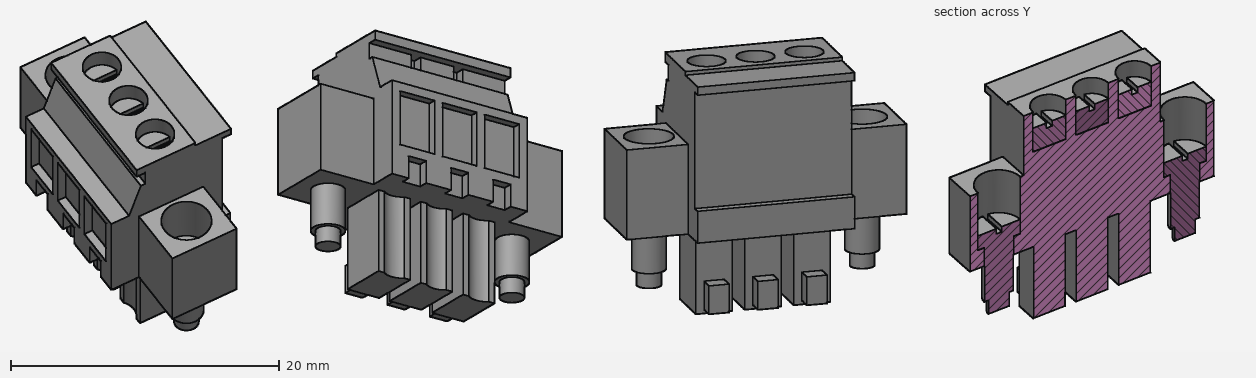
import cadquery as cq
import math

TOTAL_LENGTH = 21.82
TOTAL_DEPTH = 10.45
POLES = 3
PITCH = 3.82
POLE_XS = [PITCH * (i - (POLES - 1) / 2) for i in range(POLES)]

BLOCK_LENGTH = 12.25
FRONT_Y = -TOTAL_DEPTH / 2
BACK_LIP_Y = TOTAL_DEPTH / 2
TOP_Z = 12.48
BACK_TOP_Z = 12.2
BACK_STEP_Y = 2.12
BACK_LIP_Z = 11.56
BACK_WALL_Y = 4.47
BACK_FOOT_Y = 5.17
BACK_FOOT_Z = 2.49
FRONT_LIP_Y = -3.01
FRONT_LIP_Z = 11.72
NECK_Y = -2.25
SHOULDER_Y = -2.65
SHOULDER_Z = 10.45
SLOPE_FOOT_Y = -3.67
LEDGE_Z = 7.62

WINDOW_WIDTH = 3.1
WINDOW_BOTTOM_Z = 2.55
WINDOW_TOP_Z = 6.92
WINDOW_DEPTH = 0.7
NOTCH_WIDTH = 1.57
NOTCH_HEIGHT = 1.81
NOTCH_DEPTH = 0.79
NECK_SLOT_WIDTH = 0.83
NECK_SLOT_DEPTH = 0.8

PRONG_WIDTH = 2.85
PRONG_LENGTH = 6.61
PRONG_FRONT_Y = -2.18
PRONG_BACK_Y = 1.9
GROOVE_WIDTH = 1.8
GROOVE_RADIUS = 1.42
TAB_WIDTH = 1.57
TAB_BACK_Y = 3.15
TAB_TOP_Z = -4.08
TAB_BOTTOM_Z = -6.3

FLANGE_DEPTH = 5.6
FLANGE_HEIGHT = 7.0
FLANGE_SCREW_X = 8.31
FLANGE_SCREW_XS = [-FLANGE_SCREW_X, FLANGE_SCREW_X]

DRIVE_SLOT_WIDTH = 0.48
DRIVE_SLOT_DEPTH = 0.48

CLAMP_DIAMETER = 2.88
CLAMP_RECESS = 1.46
CLAMP_LENGTH = 2.18
CLAMP_TOP_Z = TOP_Z - CLAMP_RECESS
CLAMP_BOTTOM_Z = CLAMP_TOP_Z - CLAMP_LENGTH

HEAD_DIAMETER = 3.75
HEAD_HEIGHT = 1.3
HEAD_SEAT_Z = 1.75
HEAD_TOP_Z = HEAD_SEAT_Z + HEAD_HEIGHT
SHANK_DIAMETER = 2.6
SHANK_BOTTOM_Z = -3.32
TIP_DIAMETER = 1.88
TIP_BOTTOM_Z = -4.58


def box(x_center, width, y_min, y_max, z_min, z_max):
    """Box centred on x_center, between the given Y and Z limits."""
    corner = (x_center - width / 2, y_min, z_min)
    return cq.Workplane("XY").box(width, y_max - y_min, z_max - z_min, centered=False).translate(corner)


def cylinder(x, diameter, z_min, z_max):
    """Vertical cylinder on a screw axis."""
    return cq.Workplane("XY", origin=(x, 0, z_min)).circle(diameter / 2).extrude(z_max - z_min)


def make_block():
    """Side profile of the block, extruded along X."""
    profile = [
        (FRONT_Y, 0),
        (FRONT_Y, LEDGE_Z),
        (SLOPE_FOOT_Y, LEDGE_Z),
        (SHOULDER_Y, SHOULDER_Z),
        (NECK_Y, SHOULDER_Z),
        (NECK_Y, FRONT_LIP_Z),
        (FRONT_LIP_Y, FRONT_LIP_Z),
        (FRONT_LIP_Y, TOP_Z),
        (BACK_STEP_Y, TOP_Z),
        (BACK_STEP_Y, BACK_TOP_Z),
        (BACK_LIP_Y, BACK_TOP_Z),
        (BACK_LIP_Y, BACK_LIP_Z),
        (BACK_WALL_Y, BACK_LIP_Z),
        (BACK_WALL_Y, BACK_FOOT_Z),
        (BACK_FOOT_Y, BACK_FOOT_Z),
        (BACK_FOOT_Y, 0),
    ]
    return cq.Workplane("YZ").polyline(profile).close().extrude(BLOCK_LENGTH / 2, both=True)


def make_prong(x):
    """Plug prong with a round groove down its front and a latch tab at its back."""
    prong = box(x, PRONG_WIDTH, PRONG_FRONT_Y, PRONG_BACK_Y, -PRONG_LENGTH, 0)
    tab = box(x, TAB_WIDTH, PRONG_BACK_Y, TAB_BACK_Y, TAB_BOTTOM_Z, TAB_TOP_Z)
    groove_axis_y = PRONG_FRONT_Y - math.sqrt(GROOVE_RADIUS**2 - (GROOVE_WIDTH / 2) ** 2)
    groove_plane = cq.Workplane("XY", origin=(x, groove_axis_y, 0))
    groove = groove_plane.circle(GROOVE_RADIUS).extrude(-PRONG_LENGTH)
    return prong.union(tab).cut(groove)


def make_flanges():
    """Bar through the block whose ends form the two screw flanges."""
    return box(0, TOTAL_LENGTH, -FLANGE_DEPTH / 2, FLANGE_DEPTH / 2, 0, FLANGE_HEIGHT)


def make_pole_recesses(x):
    """Wire window, lower notch and clamp screw hole of one pole."""
    window = box(x, WINDOW_WIDTH, FRONT_Y, FRONT_Y + WINDOW_DEPTH, WINDOW_BOTTOM_Z, WINDOW_TOP_Z)
    notch = box(x, NOTCH_WIDTH, FRONT_Y, FRONT_Y + NOTCH_DEPTH, 0, NOTCH_HEIGHT)
    clamp_hole = cylinder(x, CLAMP_DIAMETER, CLAMP_BOTTOM_Z, TOP_Z)
    return [window, notch, clamp_hole]


def make_neck_slot(x):
    """Slot in the neck under the front lip."""
    return box(x, NECK_SLOT_WIDTH, NECK_Y, NECK_Y + NECK_SLOT_DEPTH, SHOULDER_Z, FRONT_LIP_Z)


def make_flange_hole(x):
    """Stepped hole for a flange screw."""
    head_hole = cylinder(x, HEAD_DIAMETER, HEAD_SEAT_Z, FLANGE_HEIGHT)
    shank_hole = cylinder(x, SHANK_DIAMETER, 0, HEAD_SEAT_Z)
    return head_hole.union(shank_hole)


def make_housing():
    """Block with flanges and prongs, minus the recesses and the screw holes."""
    housing = make_block().union(make_flanges())
    for x in POLE_XS:
        housing = housing.union(make_prong(x))
        for recess in make_pole_recesses(x):
            housing = housing.cut(recess)
    for x in POLE_XS[:-1]:
        housing = housing.cut(make_neck_slot(x + PITCH / 2))
    for x in FLANGE_SCREW_XS:
        housing = housing.cut(make_flange_hole(x))
    return housing


def make_drive_slot(x, diameter, top_z):
    """Screwdriver slot running along Y across a screw top."""
    return box(x, DRIVE_SLOT_WIDTH, -diameter / 2, diameter / 2, top_z - DRIVE_SLOT_DEPTH, top_z)


def make_clamp_screw(x):
    """Slotted cylindrical wire clamp screw."""
    screw = cylinder(x, CLAMP_DIAMETER, CLAMP_BOTTOM_Z, CLAMP_TOP_Z)
    return screw.cut(make_drive_slot(x, CLAMP_DIAMETER, CLAMP_TOP_Z))


def make_flange_screw(x):
    """Slotted head, shank and narrower tip."""
    head = cylinder(x, HEAD_DIAMETER, HEAD_SEAT_Z, HEAD_TOP_Z)
    shank = cylinder(x, SHANK_DIAMETER, SHANK_BOTTOM_Z, HEAD_SEAT_Z)
    tip = cylinder(x, TIP_DIAMETER, TIP_BOTTOM_Z, SHANK_BOTTOM_Z)
    return head.union(shank).union(tip).cut(make_drive_slot(x, HEAD_DIAMETER, HEAD_TOP_Z))


housing = make_housing()
clamp_screws = [make_clamp_screw(x).val() for x in POLE_XS]
flange_screws = [make_flange_screw(x).val() for x in FLANGE_SCREW_XS]

result = cq.Compound.makeCompound([housing.val(), *clamp_screws, *flange_screws])